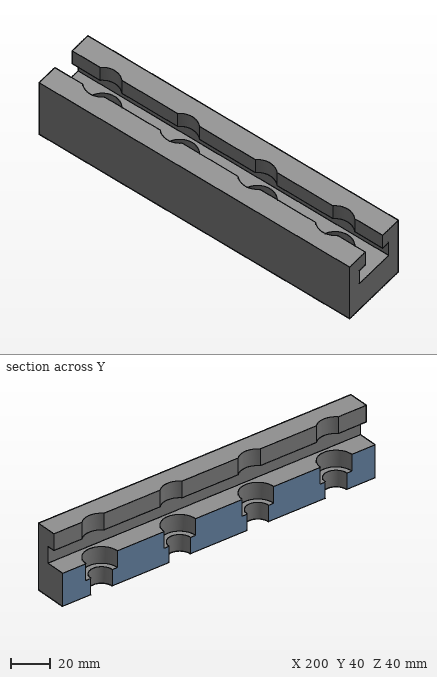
import cadquery as cq

length = 200.0
width = 40.0
height = 40.0

slot_width = 14.2
lip_height = 10.0
channel_width = 24.0
channel_height = 10.0
floor_height = height - lip_height - channel_height

hole_count = 4
hole_pitch = length / hole_count
hole_diameter = 13.5
head_diameter = 20.0
head_recess_depth = 10.0


def slot_cut(cut_width, bottom, cut_height):
    """Full-length rectangular cut centred across the rail."""
    return (
        cq.Workplane("XY")
        .workplane(offset=bottom)
        .rect(length, cut_width)
        .extrude(cut_height)
    )


def hole_row(diameter, bottom):
    """Row of vertical cylinders reaching from a given height to the top."""
    return (
        cq.Workplane("XY")
        .workplane(offset=bottom)
        .rarray(hole_pitch, 2, hole_count, 1)
        .circle(diameter / 2)
        .extrude(height - bottom)
    )


body = cq.Workplane("XY").box(length, width, height, centered=(True, True, False))

body = body.cut(slot_cut(channel_width, floor_height, channel_height))
body = body.cut(slot_cut(slot_width, floor_height, height - floor_height))

body = body.cut(hole_row(hole_diameter, 0))
body = body.cut(hole_row(head_diameter, floor_height - head_recess_depth))

result = body